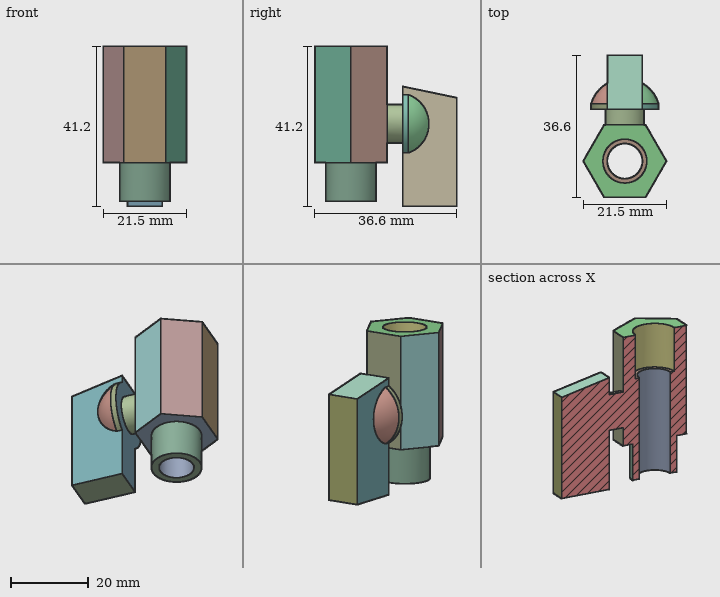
import cadquery as cq
import math

hex_across_corners = 21.5
hex_across_flats = hex_across_corners * math.sqrt(3) / 2
body_height = 30.0

spigot_diameter = 13.0
spigot_length = 10.0
through_bore_diameter = 9.0
socket_diameter = 11.3
socket_depth = 12.0

stem_diameter = 10.0
stem_length = 4.0
stem_drop = 20.0
stem_height = body_height - stem_drop

overall_height = 41.25
overall_depth = 36.6
handle_width = 9.0
inner_top_drop = 10.35
outer_top_drop = 13.3
handle_bottom = body_height - overall_height
handle_inner_top = body_height - inner_top_drop
handle_outer_top = body_height - outer_top_drop

hub_radius = 8.75
hub_rim = 1.5
hub_depth = 7.95

flat_y = hex_across_flats / 2
handle_inner_y = flat_y + stem_length
handle_outer_y = overall_depth - flat_y


def make_body():
    body = cq.Workplane("XY").polygon(6, hex_across_corners).extrude(body_height)
    spigot = cq.Workplane("XY").circle(spigot_diameter / 2).extrude(-spigot_length)
    return body.union(spigot)


def cut_bore(body):
    return (
        body.faces(">Z").workplane(origin=(0, 0, body_height))
        .cboreHole(through_bore_diameter, socket_diameter, socket_depth)
    )


def make_stem():
    return (
        cq.Workplane("XZ", origin=(0, flat_y, stem_height))
        .circle(stem_diameter / 2)
        .extrude(-(stem_length + hub_rim))
    )


def make_hub():
    cap_height = hub_depth - hub_rim
    cap_radius = (hub_radius**2 + cap_height**2) / (2 * cap_height)
    cap_center = hub_depth - cap_radius
    mid_angle = math.atan2(hub_radius, hub_rim - cap_center) / 2
    mid_point = (
        cap_radius * math.sin(mid_angle),
        cap_center + cap_radius * math.cos(mid_angle),
    )
    return (
        cq.Workplane("XY", origin=(0, handle_inner_y, stem_height))
        .lineTo(hub_radius, 0)
        .lineTo(hub_radius, hub_rim)
        .threePointArc(mid_point, (0, hub_depth))
        .close()
        .revolve(360, (0, 0), (0, 1))
    )


def make_handle():
    outline = [
        (handle_inner_y, handle_bottom),
        (handle_outer_y, handle_bottom),
        (handle_outer_y, handle_outer_top),
        (handle_inner_y, handle_inner_top),
    ]
    return cq.Workplane("YZ").polyline(outline).close().extrude(handle_width / 2, both=True)


body = cut_bore(make_body())
result = body.union(make_stem()).union(make_hub()).union(make_handle())